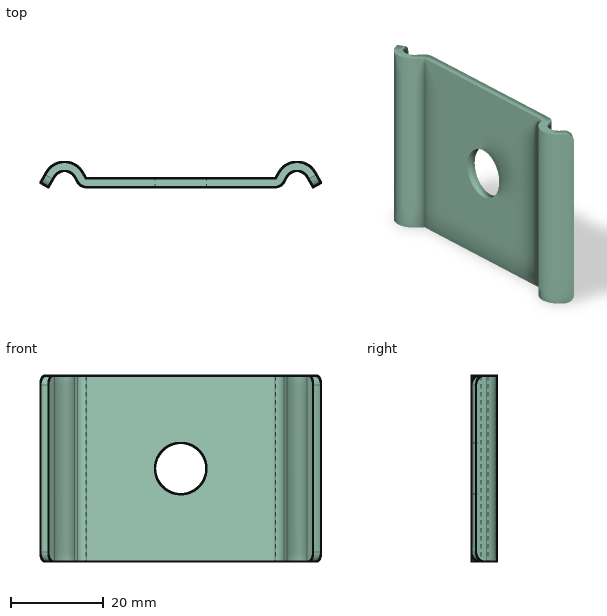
import cadquery as cq
import math

length = 60.4
depth = 5.5
height = 40.0
thickness = 2.0
hole_diameter = 11.0
tip_corner_radius = 2.0
bend_radius = 2.2
arm_angle = math.radians(30)

half_thickness = thickness / 2
outer_radius = depth - half_thickness
inner_radius = outer_radius - thickness
cos_arm = math.cos(arm_angle)
sin_arm = math.sin(arm_angle)

leg_length = (inner_radius * sin_arm + half_thickness) / cos_arm
bead_x = length / 2 - outer_radius * cos_arm - leg_length * sin_arm

leg_drop = outer_radius * sin_arm - half_thickness
corner_x = bead_x - outer_radius * cos_arm - leg_drop * math.tan(arm_angle)

bend_sweep = math.pi / 2 - arm_angle
corner_shift = (thickness - bend_radius) * math.tan(bend_sweep / 2)
bend_x = corner_x + corner_shift
bend_y = bend_radius - half_thickness


def bead_point(radius, outward):
    """Point where the bead arc of this radius meets its outboard (1) or inboard (-1) leg."""
    return (bead_x + outward * radius * cos_arm, radius * sin_arm)


def tip_point(radius):
    """Free end of the outboard leg, on the side with this bead radius."""
    x, y = bead_point(radius, 1)
    return (x + leg_length * sin_arm, y - leg_length * cos_arm)


def bend_point(angle):
    """Point on the rounded outside of the bend, angle measured from -Y towards +X."""
    return (
        bend_x + bend_radius * math.sin(angle),
        bend_y - bend_radius * math.cos(angle),
    )


def half_sheet():
    """Right half of the bent sheet, from its bottom edge to its top edge."""
    profile = (
        cq.Workplane("XY", origin=(0, 0, -height / 2))
        .moveTo(0, half_thickness)
        .lineTo(corner_x, half_thickness)
        .lineTo(*bead_point(outer_radius, -1))
        .threePointArc((bead_x, outer_radius), bead_point(outer_radius, 1))
        .lineTo(*tip_point(outer_radius))
        .lineTo(*tip_point(inner_radius))
        .lineTo(*bead_point(inner_radius, 1))
        .threePointArc((bead_x, inner_radius), bead_point(inner_radius, -1))
        .lineTo(*bend_point(bend_sweep))
        .threePointArc(bend_point(bend_sweep / 2), bend_point(0))
        .lineTo(0, -half_thickness)
        .close()
    )
    return profile.extrude(height)


def round_tip_corners(sheet):
    """Round the top and bottom corners of the free leg through the sheet thickness."""
    through_sheet = cq.Vector(cos_arm, sin_arm, 0)
    tip_edges = sheet.edges(cq.selectors.ParallelDirSelector(through_sheet))
    return tip_edges.fillet(tip_corner_radius)


right_half = round_tip_corners(half_sheet())
left_half = right_half.mirror("YZ")
hole = cq.Workplane("XZ", origin=(0, depth, 0)).circle(hole_diameter / 2).extrude(2 * depth)

result = right_half.union(left_half).clean().cut(hole)